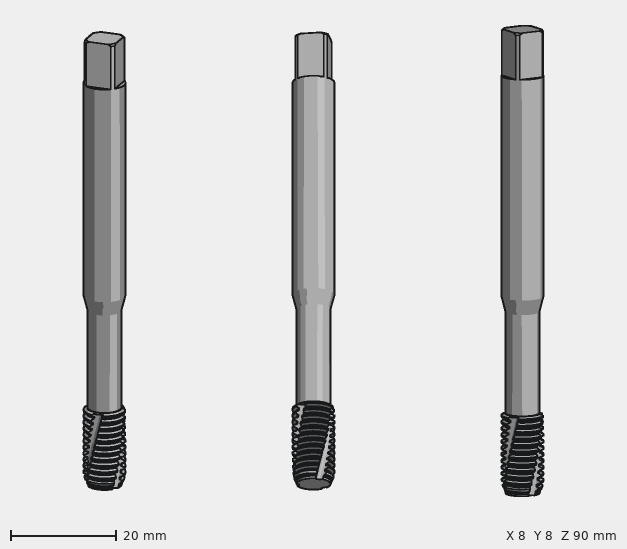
import cadquery as cq
import math

total_length = 90.0
shank_diameter = 8.0
shank_radius = shank_diameter / 2
neck_radius = 3.2

square_width = 6.2
square_length = 9.0
square_tip_chamfer = 0.4

taper_bottom = 35.2
taper_top = 38.2

cutting_length = 15.6
thread_radius = shank_radius
root_radius = 3.3
crest_width = 0.3
root_width = 0.3
ridge_count = 13
top_ridge_height = 15.0
thread_pitch = top_ridge_height / (ridge_count - 1)
lead_radius = neck_radius
lead_length = 1.8

flute_count = 3
flute_floor_radius = 2.8
flute_floor_round = 0.8
flute_wall_angle = 30.0
flute_length = 15.3
flute_overshoot = 0.45
flute_helix_angle = 16.0
flute_start_angle = -150.0


def make_shank():
    """Neck, taper and shank, topped by a square with rounded corners."""
    square_bottom = total_length - square_length
    body = (
        cq.Workplane("XZ")
        .moveTo(0, cutting_length)
        .lineTo(neck_radius, cutting_length)
        .lineTo(neck_radius, taper_bottom)
        .lineTo(shank_radius, taper_top)
        .lineTo(shank_radius, total_length - square_tip_chamfer)
        .lineTo(shank_radius - square_tip_chamfer, total_length)
        .lineTo(0, total_length)
        .close()
        .revolve(360, (0, 0, 0), (0, 1, 0))
    )
    square_waste = (
        cq.Workplane("XY", origin=(0, 0, square_bottom))
        .circle(2 * shank_radius)
        .rect(square_width, square_width)
        .extrude(square_length)
    )
    return body.cut(square_waste)


def make_thread_blank():
    """Core with a stack of ring-shaped thread ridges."""
    half_crest = crest_width / 2
    half_base = (thread_pitch - root_width) / 2
    outline = cq.Workplane("XZ").moveTo(0, cutting_length).lineTo(root_radius, cutting_length)
    for ridge in reversed(range(ridge_count)):
        height = ridge * thread_pitch
        outline = (
            outline.lineTo(root_radius, height + half_base)
            .lineTo(thread_radius, height + half_crest)
            .lineTo(thread_radius, height - half_crest)
            .lineTo(root_radius, height - half_base)
        )
    outline = outline.lineTo(0, -half_base).close()
    return outline.revolve(360, (0, 0, 0), (0, 1, 0))


def make_lead_envelope():
    """Tapered lead at the tip that the thread ridges must stay inside."""
    return (
        cq.Workplane("XZ")
        .lineTo(lead_radius, 0)
        .lineTo(thread_radius, lead_length)
        .lineTo(thread_radius, cutting_length)
        .lineTo(0, cutting_length)
        .close()
        .revolve(360, (0, 0, 0), (0, 1, 0))
    )


def make_flute_cutter(start_angle):
    """Tapered channel twisted along the cutting end as a right-hand helix."""
    helix_lead = 2 * math.pi * thread_radius / math.tan(math.radians(flute_helix_angle))
    twist = 360 * flute_length / helix_lead
    wall_angle = math.radians(flute_wall_angle)
    round_center = flute_floor_radius + flute_floor_round
    tangent_radius = round_center - flute_floor_round * math.sin(wall_angle)
    half_floor = flute_floor_round * math.cos(wall_angle)
    outer_radius = thread_radius + flute_overshoot
    half_mouth = half_floor + (outer_radius - tangent_radius) * math.tan(wall_angle)
    return (
        cq.Workplane("XY")
        .moveTo(tangent_radius, half_floor)
        .threePointArc((flute_floor_radius, 0), (tangent_radius, -half_floor))
        .lineTo(outer_radius, -half_mouth)
        .lineTo(outer_radius, half_mouth)
        .close()
        .twistExtrude(flute_length, twist)
        .rotate((0, 0, 0), (0, 0, 1), start_angle)
    )


def make_cutting_end():
    """Ridged blank with a tapered lead and helical flutes."""
    body = make_thread_blank().intersect(make_lead_envelope())
    for flute in range(flute_count):
        body = body.cut(make_flute_cutter(flute_start_angle + flute * 360 / flute_count))
    return body


shank = make_shank()
cutting_end = make_cutting_end()

result = cq.Compound.makeCompound([shank.val(), cutting_end.val()])